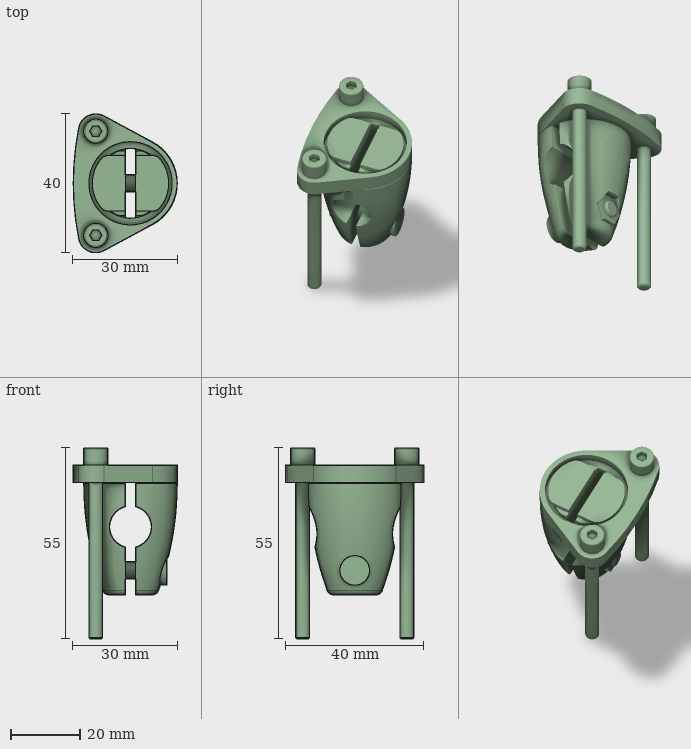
import cadquery as cq
import math

overlap = 0.55

plate_width = 40.0
plate_thickness = 5.0
plate_nose_radius = 13.5
plate_back_x = -16.5
lug_radius = 5.0
counterbore_diameter = 24.0
bore_diameter = 20.0
ledge_thickness = 2.0

screw_x = -10.0
screw_y = plate_width / 2 - lug_radius
shank_diameter = 4.0
shank_bottom_z = -45.0
shank_chamfer = 0.4
cap_diameter = 7.0
cap_height = 5.0
cap_fillet = 0.4
socket_across_flats = 3.0
socket_depth = 2.0

slot_width = 2.9
body_top_radius = 13.5
body_side_radius = 91.85
body_bottom_z = -32.35
body_bottom_fillet = 2.0
body_top_bevel_width = 0.15
body_top_bevel_height = 0.35
tube_hole_diameter = 12.0
tube_hole_z = -12.75
neck_diameter = 19.8
neck_width = 18.6
disc_diameter = 22.0
disc_width = 16.05
disc_corner_radius = 3.0
disc_bottom_z = 3.0
disc_top_z = 4.5

bolt_z = -25.3
bolt_diameter = 5.0
bolt_head_diameter = 8.5
bolt_head_face_x = 10.5
bolt_head_inner_x = 5.0
bolt_tip_x = -10.25
bolt_tip_chamfer = 0.5
nut_across_flats = 8.0
nut_face_x = -9.3
nut_pocket_across_flats = 8.7
nut_pocket_floor_x = -5.0


def hexagon_diameter(across_flats):
    """Corner-to-corner size of a regular hexagon."""
    return across_flats / math.cos(math.pi / 6)


def point_on_circle(center_x, center_y, radius, angle):
    return (center_x + radius * math.cos(angle), center_y + radius * math.sin(angle))


def mirrored(point):
    """Mirror a point of the plate outline across the X axis."""
    return (point[0], -point[1])


def plate_outline():
    """Nose arc, two straight flanks, two lug arcs and a shallow back arc, all tangent."""
    lug_distance = math.hypot(screw_x, screw_y)
    lug_direction = math.atan2(screw_y, screw_x)
    flank_angle = lug_direction - math.acos((plate_nose_radius - lug_radius) / lug_distance)
    nose_end = point_on_circle(0, 0, plate_nose_radius, flank_angle)
    lug_start = point_on_circle(screw_x, screw_y, lug_radius, flank_angle)

    lug_inset = screw_x - plate_back_x
    back_radius = (lug_inset**2 + screw_y**2 - lug_radius**2) / (2 * (lug_inset - lug_radius))
    back_center_x = plate_back_x + back_radius
    back_angle = math.atan2(screw_y, screw_x - back_center_x)
    lug_end = point_on_circle(screw_x, screw_y, lug_radius, back_angle)
    lug_middle = point_on_circle(screw_x, screw_y, lug_radius, (flank_angle + back_angle) / 2)

    return (
        cq.Workplane("XY")
        .moveTo(*nose_end)
        .lineTo(*lug_start)
        .threePointArc(lug_middle, lug_end)
        .threePointArc((plate_back_x, 0), mirrored(lug_end))
        .threePointArc(mirrored(lug_middle), mirrored(lug_start))
        .lineTo(*mirrored(nose_end))
        .threePointArc((plate_nose_radius, 0), nose_end)
        .close()
    )


def cap_screw(y):
    """Socket head cap screw standing on the plate, with its shank hanging below."""
    cap = (
        cq.Workplane("XY", origin=(screw_x, y, plate_thickness))
        .circle(cap_diameter / 2)
        .extrude(cap_height)
        .faces(">Z").edges()
        .fillet(cap_fillet)
        .faces(">Z").workplane()
        .polygon(6, hexagon_diameter(socket_across_flats))
        .cutBlind(-socket_depth)
    )
    shank = (
        cq.Workplane("XY", origin=(screw_x, y, shank_bottom_z))
        .circle(shank_diameter / 2)
        .extrude(overlap - shank_bottom_z)
        .faces("<Z")
        .chamfer(shank_chamfer)
    )
    return cap.union(shank)


def make_flange():
    """Flange plate with its stepped bore and the two long screws fixed in the lugs."""
    counterbore = (
        cq.Workplane("XY", origin=(0, 0, ledge_thickness))
        .circle(counterbore_diameter / 2)
        .extrude(plate_thickness)
    )
    bore = cq.Workplane("XY").circle(bore_diameter / 2).extrude(plate_thickness)
    flange = plate_outline().extrude(plate_thickness).cut(counterbore).cut(bore)
    for side in (-1, 1):
        flange = flange.union(cap_screw(side * screw_y))
    return flange


def side_radius(z):
    """Body radius at height z, on an arc that is vertical at z = 0."""
    return body_top_radius - body_side_radius + math.sqrt(body_side_radius**2 - z**2)


def clamp_body():
    """Barrel that narrows downwards, with a bevelled top edge and a rounded bottom edge."""
    arc_top_z = -body_top_bevel_height
    arc_middle_z = (arc_top_z + body_bottom_z) / 2
    return (
        cq.Workplane("XZ")
        .moveTo(0, body_bottom_z)
        .lineTo(side_radius(body_bottom_z), body_bottom_z)
        .threePointArc((side_radius(arc_middle_z), arc_middle_z), (side_radius(arc_top_z), arc_top_z))
        .lineTo(body_top_radius - body_top_bevel_width, 0)
        .lineTo(0, 0)
        .close()
        .revolve(360, (0, 0, 0), (0, 1, 0))
        .faces("<Z").edges()
        .fillet(body_bottom_fillet)
    )


def flatted_disc(diameter, width, bottom_z, top_z):
    """Round disc with two flats facing -Y and +Y."""
    height = top_z - bottom_z
    base = cq.Workplane("XY", origin=(0, 0, bottom_z))
    slab = base.rect(diameter, width).extrude(height)
    return base.circle(diameter / 2).extrude(height).intersect(slab)


def bar_along_x(section, start_x, end_x):
    """Extrude the section drawn by the given function along the bolt axis, from start_x to end_x."""
    plane = cq.Workplane("YZ", origin=(start_x, 0, bolt_z))
    return section(plane).extrude(end_x - start_x)


def round_section(diameter):
    return lambda plane: plane.circle(diameter / 2)


def hexagon_section(across_flats):
    return lambda plane: plane.polygon(6, hexagon_diameter(across_flats))


def make_clamp():
    """Slotted clamp held together by its bolt and nut."""
    disc = flatted_disc(disc_diameter, disc_width, disc_bottom_z, disc_top_z)
    disc = disc.edges("|Z").fillet(disc_corner_radius)
    clamp = (
        clamp_body()
        .union(flatted_disc(neck_diameter, neck_width, -overlap, disc_bottom_z))
        .union(disc)
    )

    tube_hole = (
        cq.Workplane("XZ", origin=(0, 0, tube_hole_z))
        .circle(tube_hole_diameter / 2)
        .extrude(body_top_radius, both=True)
    )
    slot = (
        cq.Workplane("XY", origin=(0, 0, body_bottom_z))
        .rect(slot_width, 2 * body_top_radius)
        .extrude(disc_top_z - body_bottom_z)
    )
    clamp = clamp.cut(tube_hole).cut(slot)

    head_seat = bar_along_x(round_section(bolt_head_diameter), bolt_head_face_x, body_top_radius)
    nut_pocket = bar_along_x(
        hexagon_section(nut_pocket_across_flats), -body_top_radius, nut_pocket_floor_x
    )
    clamp = clamp.cut(head_seat).cut(nut_pocket)

    head = bar_along_x(round_section(bolt_head_diameter), bolt_head_inner_x, bolt_head_face_x)
    nut = bar_along_x(hexagon_section(nut_across_flats), nut_face_x, nut_pocket_floor_x + overlap)
    shaft = (
        bar_along_x(round_section(bolt_diameter), bolt_tip_x, bolt_head_inner_x)
        .faces("<X")
        .chamfer(bolt_tip_chamfer)
    )
    return clamp.union(head).union(nut).union(shaft)


flange = make_flange()
clamp = make_clamp()

result = cq.Compound.makeCompound([flange.solids().val(), clamp.solids().val()])